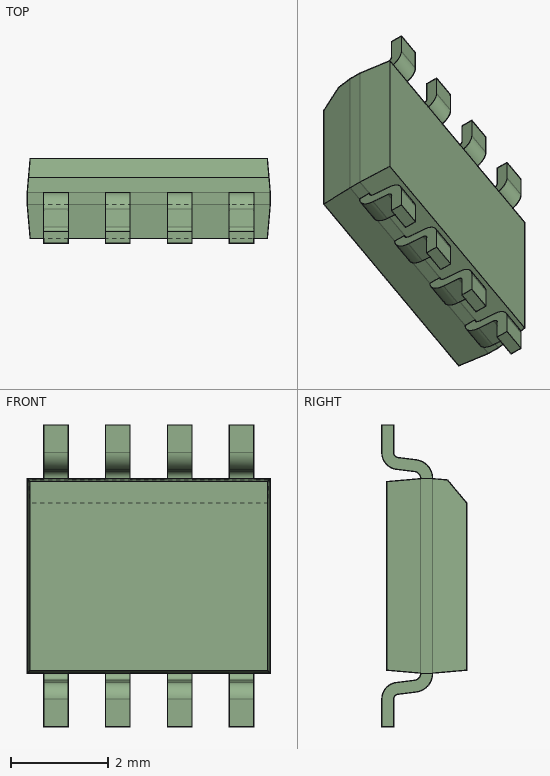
import cadquery as cq
import math


overall_height = 6.2
overall_depth = 1.75

body_width = 5.0
body_height = 4.0
body_standoff = 0.1
draft_angle = 5.0
chamfer_depth = 0.395
chamfer_drop = 0.5

leads_per_side = 4
lead_pitch = 1.27
lead_width = 0.51
lead_thickness = 0.25
slope_angle = 7.0
shoulder_inner_radius = 0.14
foot_inner_radius = 0.1
lead_embed = 0.25

half_body_depth = (overall_depth - body_standoff - lead_thickness) / 2
band_front = body_standoff + half_body_depth
band_back = band_front + lead_thickness
body_top = body_height / 2
lead_tip = overall_height / 2


def body_slab(y_start, depth, taper=0.0):
    """Rectangular slab from y_start; positive depth runs toward -Y."""
    outline = cq.Workplane("XZ", origin=(0, y_start, 0)).rect(body_width, body_height)
    return outline.extrude(depth, taper=taper)


def make_body():
    """Straight band at lead level, drafted halves either side, one long edge chamfered."""
    band = body_slab(band_back, lead_thickness)
    front_half = body_slab(band_front, half_body_depth, draft_angle)
    back_half = body_slab(band_back, -half_body_depth, draft_angle)

    cut_start_inset = (half_body_depth - chamfer_depth) * math.tan(math.radians(draft_angle))
    cut_start = (overall_depth - chamfer_depth, body_top - cut_start_inset)
    chamfer = (
        cq.Workplane("YZ")
        .polyline([
            cut_start,
            (overall_depth, body_top - chamfer_drop),
            (overall_depth, body_top),
            (cut_start[0], body_top),
        ])
        .close()
        .extrude(body_width / 2, both=True)
    )
    return band.union(front_half).union(back_half).cut(chamfer)


def make_lead():
    """Upper lead at x = 0: a rectangular strip swept along its bent centreline."""
    shoulder_radius = shoulder_inner_radius + lead_thickness / 2
    foot_radius = foot_inner_radius + lead_thickness / 2
    slope = math.radians(slope_angle)

    bend_run = 1 - math.sin(slope)
    bend_rise = math.cos(slope)

    exit_y = (band_front + band_back) / 2
    foot_y = lead_thickness / 2
    shoulder_start = (exit_y, body_top)
    shoulder_end = (exit_y - shoulder_radius * bend_run, body_top + shoulder_radius * bend_rise)

    foot_bend_start_y = foot_y + foot_radius * bend_run
    slope_rise = (shoulder_end[0] - foot_bend_start_y) * math.tan(slope)
    foot_bend_start = (foot_bend_start_y, shoulder_end[1] + slope_rise)
    foot_bend_end = (foot_y, foot_bend_start[1] + foot_radius * bend_rise)

    root_z = body_top - lead_embed
    centreline = (
        cq.Workplane("YZ")
        .moveTo(exit_y, root_z)
        .lineTo(*shoulder_start)
        .tangentArcPoint(shoulder_end, relative=False)
        .lineTo(*foot_bend_start)
        .tangentArcPoint(foot_bend_end, relative=False)
        .lineTo(foot_y, lead_tip)
    )
    section = cq.Workplane("XY", origin=(0, exit_y, root_z)).rect(lead_width, lead_thickness)
    return section.sweep(centreline)


result = make_body()
upper_lead = make_lead()
lower_lead = upper_lead.mirror("XY")
for index in range(leads_per_side):
    lead_x = (index - (leads_per_side - 1) / 2) * lead_pitch
    for lead in (upper_lead, lower_lead):
        result = result.union(lead.translate((lead_x, 0, 0)))